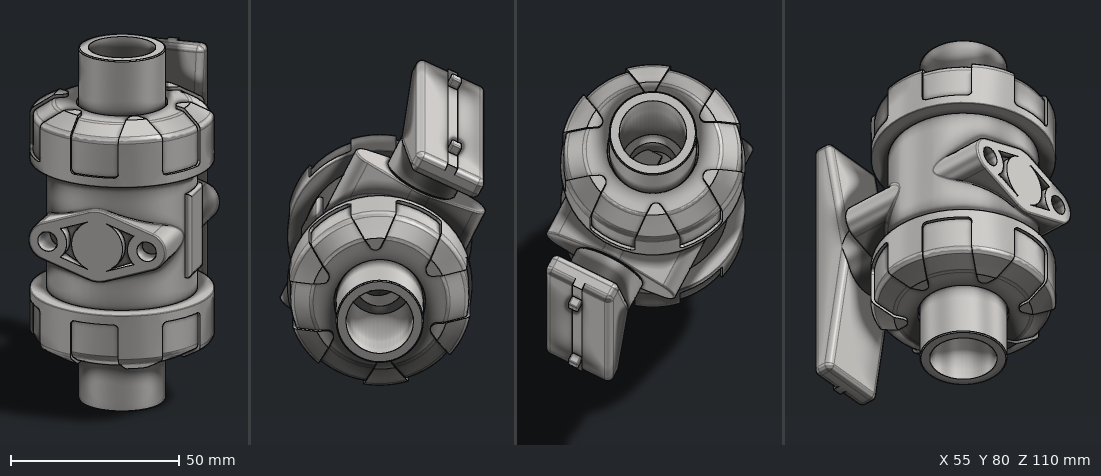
import cadquery as cq
import math

total_height = 110.0
pipe_diameter = 26.0
pipe_bore = 20.0
pipe_end_chamfer = 0.3
port_bore = 15.0
body_diameter = 45.0

nut_diameter = 55.0
nut_inner_z = 20.0
nut_outer_z = 38.9
nut_collar_height = 3.0
nut_top_radius = 20.7
nut_slope_angle = 30.0
nut_edge_radius = 2.2
nut_collar_radius = 0.2
nut_clearance_diameter = 27.2
nut_clearance_depth = 3.3
grip_count = 6
first_grip_angle = 90.0
grip_width = 15.0
grip_depth = 1.0
grip_corner_radius = 1.4
grip_tip_radius = 2.0

flange_front_y = -23.9
flange_back_y = 27.9
flange_side_angle = 19.0
flange_ridge_radius = 8.8
flange_end_diameter = 12.0
flange_hole_diameter = 6.0
flange_hole_x = 15.5
flange_disc_diameter = 16.0
flange_wall = 3.1
flange_rim_radius = 0.4
front_blend_radius = 0.3
back_blend_radius = 1.5

label_outer_x = 23.4
label_width = 12.0
label_height = 26.2
label_edge_radius = 1.1

shaft_diameter = 22.2
neck_diameter = 21.3
neck_height = 0.4
handle_width = shaft_diameter
handle_height = 84.9
handle_back_y = 49.4
handle_tip_y = 43.1
handle_ridge_y = 36.1
handle_edge_radius = 2.0
rib_width = 3.2
rib_back_y = 49.6
pin_back_y = 52.5
pin_height = 4.1
pin_center_z = 29.4
pin_edge_radius = 0.4

half_height = total_height / 2
body_radius = body_diameter / 2
flange_end_radius = flange_end_diameter / 2


def cylinder_z(diameter, z_start, z_end):
    """Cylinder on the pipe axis."""
    return cq.Workplane("XY", origin=(0, 0, z_start)).circle(diameter / 2).extrude(z_end - z_start)


def prism_y(plan, y_start, y_end):
    """Extrude a sketch made by plan(workplane) from y_start to y_end, with +X and +Z kept."""
    plane = cq.Plane(origin=(0, y_end, 0), xDir=(1, 0, 0), normal=(0, -1, 0))
    return plan(cq.Workplane(plane)).extrude(y_end - y_start)


def box_between(x_range, y_range, z_range):
    """Box given by its low and high position along each axis."""
    lengths = [high - low for low, high in (x_range, y_range, z_range)]
    corner = (x_range[0], y_range[0], z_range[0])
    return cq.Workplane("XY", origin=corner).box(*lengths, centered=False)


def nut_envelope(inset):
    """Upper nut as a solid of revolution, with its outer surface moved inwards by inset."""
    angle = math.radians(nut_slope_angle)
    radius = nut_diameter / 2 - inset
    top_z = nut_outer_z - inset
    top_radius = nut_top_radius - inset * math.tan(angle / 2)
    shoulder_z = top_z - (radius - top_radius) * math.tan(angle)
    profile = [
        (0, nut_inner_z),
        (radius, nut_inner_z),
        (radius, shoulder_z),
        (top_radius, top_z),
        (0, top_z),
    ]
    nut = cq.Workplane("XZ").polyline(profile).close().revolve(360, (0, 0, 0), (0, 1, 0))
    on_slope_ends = cq.selectors.BoxSelector(
        (-nut_diameter, -nut_diameter, nut_inner_z + nut_collar_height),
        (nut_diameter, nut_diameter, nut_outer_z),
        boundingbox=True,
    )
    return nut.edges("%CIRCLE").edges(on_slope_ends).fillet(nut_edge_radius)


def grip_panels():
    """Six radial blocks that mark the sunken panels between the lobes of a nut."""
    panel_base_z = nut_inner_z + nut_collar_height
    panel = box_between(
        (0, nut_diameter), (-grip_width / 2, grip_width / 2), (panel_base_z, total_height)
    )
    panel = panel.edges("|X and <Z").fillet(grip_corner_radius)
    panels = panel.rotate((0, 0, 0), (0, 0, 1), first_grip_angle)
    for index in range(1, grip_count):
        turn = first_grip_angle + index * 360 / grip_count
        panels = panels.union(panel.rotate((0, 0, 0), (0, 0, 1), turn))
    return panels


def make_nut():
    """Upper union nut with sunken grip panels and clearance around the pipe."""
    core = nut_envelope(grip_depth)
    nut = nut_envelope(0).faces("<Z").edges().fillet(nut_collar_radius)
    nut = nut.cut(grip_panels().cut(core))
    tip_reach = grip_width + grip_tip_radius
    lobe_tips = cq.selectors.BoxSelector(
        (-tip_reach, -tip_reach, nut_outer_z - 2 * grip_depth), (tip_reach, tip_reach, total_height)
    )
    nut = nut.edges("|Z").edges(lobe_tips).fillet(grip_tip_radius)
    clearance = cylinder_z(nut_clearance_diameter, nut_outer_z - nut_clearance_depth, half_height)
    return nut.cut(clearance)


def rhombus_plan(inset, ridge_radius):
    """Flange outline moved inwards by inset: straight sides tangent to ridge and end arcs."""
    side = math.radians(flange_side_angle)
    end_radius = flange_end_radius - inset
    side_distance = flange_hole_x * math.sin(side) + end_radius
    ridge_center_z = (side_distance - ridge_radius) / math.cos(side)
    ridge_z = ridge_center_z + ridge_radius
    ridge = (ridge_radius * math.sin(side), ridge_center_z + ridge_radius * math.cos(side))
    end = (flange_hole_x + end_radius * math.sin(side), end_radius * math.cos(side))
    tip_x = flange_hole_x + end_radius

    def plan(workplane):
        return (
            workplane.moveTo(-ridge[0], ridge[1])
            .threePointArc((0, ridge_z), ridge)
            .lineTo(*end)
            .threePointArc((tip_x, 0), (end[0], -end[1]))
            .lineTo(ridge[0], -ridge[1])
            .threePointArc((0, -ridge_z), (-ridge[0], -ridge[1]))
            .lineTo(-end[0], -end[1])
            .threePointArc((-tip_x, 0), (-end[0], end[1]))
            .close()
        )

    return plan


def circles_plan(diameter, centers):
    """Equal circles at the given centers."""
    return lambda workplane: workplane.pushPoints(centers).circle(diameter / 2)


def blend_flange(part, y_low, y_high, radius):
    """Round the inner corner where the flange leaves the body, between two Y positions."""
    corner = cq.selectors.BoxSelector((-body_radius, y_low, -nut_inner_z), (body_radius, y_high, nut_inner_z))
    return part.edges("not |Y").edges(corner).fillet(radius)


def make_flange():
    """Flange prism from front face to back face, with both rims rounded."""
    flange = prism_y(rhombus_plan(0, flange_ridge_radius), flange_front_y, flange_back_y)
    return flange.faces("<Y or >Y").edges().fillet(flange_rim_radius)


def make_flange_recesses():
    """Holes and recesses of the front flange, running in from its face as far as the body."""
    hole_centers = [(-flange_hole_x, 0), (flange_hole_x, 0)]

    def sunk(plan):
        return prism_y(plan, flange_front_y, 0)

    disc_radius = flange_disc_diameter / 2
    recess = sunk(rhombus_plan(flange_wall, disc_radius))
    recess = recess.cut(sunk(circles_plan(flange_disc_diameter, [(0, 0)])))
    recess = recess.cut(sunk(circles_plan(flange_end_diameter, hole_centers)))
    holes = sunk(circles_plan(flange_hole_diameter, hole_centers))
    return recess.union(holes).cut(cylinder_z(body_diameter, -nut_inner_z, nut_inner_z))


def make_bore():
    """Ports from both ends, stopped by the flange that crosses the body."""
    bore = cylinder_z(port_bore, -nut_inner_z, nut_inner_z).cut(make_flange())
    bore = bore.union(cylinder_z(pipe_bore, nut_inner_z, half_height))
    return bore.union(cylinder_z(pipe_bore, -half_height, -nut_inner_z))


def make_pipe_body():
    """Flanged body with its pipe ends, nuts and bores."""
    body = cylinder_z(body_diameter, -nut_inner_z, nut_inner_z).union(make_flange())
    body = blend_flange(body, -body_radius, -flange_end_radius, front_blend_radius)
    body = blend_flange(body, flange_end_radius, body_radius, back_blend_radius)
    body = body.cut(make_flange_recesses())
    pipe = cylinder_z(pipe_diameter, -half_height, half_height)
    pipe = pipe.faces("<Z or >Z").edges().chamfer(pipe_end_chamfer)
    upper_nut = make_nut()
    body = body.union(pipe).union(upper_nut).union(upper_nut.mirror("XY"))
    return body.cut(make_bore())


def make_label():
    """Raised plate on the +X side, rooted at the body axis so that it also shows inside the port."""
    label = box_between(
        (0, label_outer_x), (-label_width / 2, label_width / 2), (-label_height / 2, label_height / 2)
    )
    return label.faces(">X").edges().fillet(label_edge_radius)


def make_handle():
    """Tapered grip with a rib and two pins on its back, on a round shaft with a narrow neck."""
    half_grip = handle_height / 2
    half_rib = rib_width / 2
    rib_base_y = handle_back_y - handle_edge_radius
    grip = (
        cq.Workplane("YZ", origin=(-handle_width / 2, 0, 0))
        .moveTo(handle_ridge_y, 0)
        .lineTo(handle_tip_y, half_grip)
        .lineTo(handle_back_y, half_grip)
        .lineTo(handle_back_y, -half_grip)
        .lineTo(handle_tip_y, -half_grip)
        .close()
        .extrude(handle_width)
    )
    ridge = cq.selectors.NearestToPointSelector((0, handle_ridge_y, 0))
    outer_edges = cq.selectors.InverseSelector(ridge)
    handle = grip.edges(outer_edges).fillet(handle_edge_radius)
    handle = handle.union(
        box_between((-half_rib, half_rib), (rib_base_y, rib_back_y), (-half_grip, half_grip))
    )
    for center_z in (-pin_center_z, pin_center_z):
        pin_z = (center_z - pin_height / 2, center_z + pin_height / 2)
        pin = box_between((-half_rib, half_rib), (rib_base_y, pin_back_y), pin_z)
        handle = handle.union(pin.edges("|Y or >Y").fillet(pin_edge_radius))
    shaft_start_y = flange_back_y + neck_height
    on_axis = [(0, 0)]
    handle = handle.union(prism_y(circles_plan(shaft_diameter, on_axis), shaft_start_y, handle_tip_y))
    return handle.union(prism_y(circles_plan(neck_diameter, on_axis), flange_back_y, shaft_start_y))


result = make_pipe_body().union(make_label()).union(make_handle())